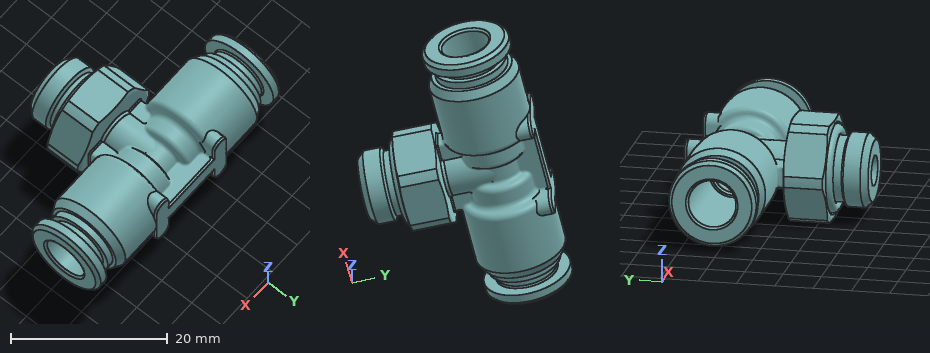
import cadquery as cq
import math

half_length = 18.25

collar_radius = 5.7
collar_chamfer_length = 0.47
collar_chamfer_depth = 0.47
collar_thickness = 1.6
collar_neck_radius = 3.98
collar_neck_root_radius = 4.1
collar_neck_root_length = 0.3
sleeve_start = 3.0
sleeve_radius = 4.75

barrel_start = 3.98
barrel_end_radius = 5.3
barrel_taper_end = 5.15
barrel_radius = 5.9

barrel_inner_x = 5.3
shoulder_round = 0.8
shoulder_radius = barrel_radius - 2 * shoulder_round
shoulder_inner_x = 2.15
waist_radius = 3.05
waist_outer_round = 0.73
waist_inner_round = shoulder_radius - waist_radius - waist_outer_round

tube_mouth_radius = 3.4
tube_radius = 3.1
tube_mouth_depth = 0.3
tube_stop_x = 5.3
stop_cone_radius = 2.8
run_bore_radius = 2.52

web_thickness = 3.05
web_half_width = 5.15
web_edge_round = 0.45
back_y = 6.0
post_inner_x = 4.45
post_outer_x = 7.05
post_half_height = 4.5
back_chamfer_length = 0.33
back_chamfer_depth = 0.1

hex_start = 6.83
hex_end = 12.25
hex_across_flats = 13.0
hex_corner_radius = 7.1
hex_chamfer_length = 0.2
stud_neck_radius = 4.27
stud_neck_end = 13.95
thread_start = 14.27
thread_radius = 4.8
thread_end = 16.5
branch_end = 17.37
tip_radius = 4.0
branch_bore_radius = 1.97

neck_foot_length = 0.45
web_foot_length = 0.22
foot_flare = 0.15

corner_blend = 0.35
tolerance = 0.005

seal_section_radius = 0.73
seal_center_radius = stud_neck_radius + seal_section_radius
seal_recess_radius = 6.0
seal_recess_depth = seal_section_radius


def revolve_about_x(profile):
    """Revolve an (x, radius) profile about the X axis."""
    return profile.close().revolve(360, (0, 0, 0), (1, 0, 0))


def revolve_about_branch(points):
    """Revolve (radius, distance toward -Y) points about the Y axis."""
    outline = [(radius, -distance) for radius, distance in points]
    return cq.Workplane("XY").polyline(outline).close().revolve(360, (0, 0, 0), (0, 1, 0))


def branch_cylinder(radius, start, end):
    return revolve_about_branch([(0, start), (radius, start), (radius, end), (0, end)])


def quarter_arc_middle(center_x, center_r, radius, x_sign, r_sign):
    offset = radius * math.sqrt(0.5)
    return (center_x + x_sign * offset, center_r + r_sign * offset)


def make_half_run():
    """Outer shape of the +X half of the run, from the middle to the collar."""
    waist_end_x = shoulder_inner_x - waist_outer_round - waist_inner_round
    waist_step_x = shoulder_inner_x - waist_outer_round
    barrel_step_x = barrel_inner_x - shoulder_round
    shoulder_outer_x = barrel_step_x - shoulder_round
    profile = (
        cq.Workplane("XY")
        .moveTo(0, 0)
        .lineTo(0, waist_radius)
        .lineTo(waist_end_x, waist_radius)
        .threePointArc(
            quarter_arc_middle(waist_end_x, waist_radius + waist_inner_round, waist_inner_round, 1, -1),
            (waist_step_x, waist_radius + waist_inner_round),
        )
        .threePointArc(
            quarter_arc_middle(shoulder_inner_x, shoulder_radius - waist_outer_round, waist_outer_round, -1, 1),
            (shoulder_inner_x, shoulder_radius),
        )
        .lineTo(shoulder_outer_x, shoulder_radius)
        .threePointArc(
            quarter_arc_middle(shoulder_outer_x, shoulder_radius + shoulder_round, shoulder_round, 1, -1),
            (barrel_step_x, shoulder_radius + shoulder_round),
        )
        .threePointArc(
            quarter_arc_middle(barrel_inner_x, barrel_radius - shoulder_round, shoulder_round, -1, 1),
            (barrel_inner_x, barrel_radius),
        )
        .lineTo(half_length - barrel_taper_end, barrel_radius)
        .lineTo(half_length - barrel_start, barrel_end_radius)
        .lineTo(half_length - barrel_start, sleeve_radius)
        .lineTo(half_length - sleeve_start, sleeve_radius)
        .lineTo(half_length - sleeve_start, collar_neck_radius)
        .lineTo(half_length - collar_thickness - collar_neck_root_length, collar_neck_radius)
        .lineTo(half_length - collar_thickness, collar_neck_root_radius)
        .lineTo(half_length - collar_thickness, collar_radius)
        .lineTo(half_length - collar_chamfer_length, collar_radius)
        .lineTo(half_length, collar_radius - collar_chamfer_depth)
        .lineTo(half_length, 0)
    )
    return revolve_about_x(profile)


def make_half_run_bore():
    """Bore of the +X half of the run: tube socket, coned stop and through bore."""
    stop_cone_depth = stop_cone_radius - run_bore_radius
    profile = (
        cq.Workplane("XY")
        .moveTo(0, 0)
        .lineTo(0, run_bore_radius)
        .lineTo(tube_stop_x - stop_cone_depth, run_bore_radius)
        .lineTo(tube_stop_x, stop_cone_radius)
        .lineTo(tube_stop_x, tube_radius)
        .lineTo(half_length - tube_mouth_depth, tube_radius)
        .lineTo(half_length, tube_mouth_radius)
        .lineTo(half_length, 0)
    )
    return revolve_about_x(profile)


def both_halves(half):
    return half.union(half.mirror("YZ"))


def taper_angle(depth, length):
    return math.degrees(math.atan2(depth, length))


def make_front_web():
    """Flat web in the XY plane with rounded edges, flared where it meets the hexagon."""
    plate_length = hex_start - web_foot_length

    def web_section(start):
        return (
            cq.Workplane("XZ", origin=(0, -start, 0))
            .sketch()
            .rect(2 * web_half_width, web_thickness)
            .vertices()
            .fillet(web_edge_round)
            .finalize()
        )

    foot = web_section(plate_length).extrude(web_foot_length, taper=-taper_angle(foot_flare, web_foot_length))
    return web_section(0).extrude(plate_length).union(foot)


def make_branch_neck():
    """Round neck from the waist to the hexagon, flared at the foot."""
    return revolve_about_branch([
        (0, 0),
        (waist_radius, 0),
        (waist_radius, hex_start - neck_foot_length),
        (waist_radius + foot_flare, hex_start),
        (0, hex_start),
    ])


def extrude_to_back(make_section):
    """Extrude a section from the run axis to the back plane, with its back edge chamfered."""
    plain_length = back_y - back_chamfer_length
    tip = make_section(plain_length).extrude(
        -back_chamfer_length, taper=taper_angle(back_chamfer_depth, back_chamfer_length)
    )
    return make_section(0).extrude(-plain_length).union(tip)


def make_back_web():
    """Web between the two posts."""
    return extrude_to_back(
        lambda y: cq.Workplane("XZ", origin=(0, y, 0)).rect(post_inner_x + post_outer_x, web_thickness)
    )


def make_post(side):
    """Post of slot-shaped section, running along Y from the barrel to the back plane."""
    center_x = side * (post_inner_x + post_outer_x) / 2
    return extrude_to_back(
        lambda y: cq.Workplane("XZ", origin=(center_x, y, 0)).slot2D(
            2 * post_half_height, post_outer_x - post_inner_x, 90
        )
    )


def make_hexagon():
    """Hexagon with flats at top and bottom, corners turned down and both faces chamfered."""
    flat_radius = hex_across_flats / 2
    prism = (
        cq.Workplane("XZ", origin=(0, -hex_start, 0))
        .polygon(6, hex_across_flats / math.cos(math.pi / 6))
        .extrude(hex_end - hex_start)
    )
    turned_blank = revolve_about_branch([
        (0, hex_start),
        (flat_radius, hex_start),
        (hex_corner_radius, hex_start + hex_chamfer_length),
        (hex_corner_radius, hex_end - hex_chamfer_length),
        (flat_radius, hex_end),
        (0, hex_end),
    ])
    seal_recess = branch_cylinder(seal_recess_radius, hex_end - seal_recess_depth, hex_end)
    return prism.intersect(turned_blank).cut(seal_recess)


def make_stud():
    """Threaded end with its undercut neck, at the thread's outer diameter."""
    neck_start = hex_end - seal_recess_depth
    return revolve_about_branch([
        (0, neck_start),
        (stud_neck_radius, neck_start),
        (stud_neck_radius, stud_neck_end),
        (thread_radius, thread_start),
        (thread_radius, thread_end),
        (tip_radius, branch_end),
        (0, branch_end),
    ])


def is_neck_corner(edge):
    """True for the curves where the round neck meets the run, in front of the run axis."""
    box = edge.BoundingBox()
    web_meets_neck_x = math.sqrt(waist_radius**2 - (web_thickness / 2) ** 2)
    return (
        box.xmax - box.xmin > tolerance
        and max(-box.xmin, box.xmax) < web_meets_neck_x + tolerance
        and box.ymin > -shoulder_radius
        and box.ymax < tolerance
    )


def is_web_corner(edge):
    """True for the edges on the web's two faces where the run or a post rises from it."""
    box = edge.BoundingBox()
    on_web_face = (
        box.zmax - box.zmin < tolerance and abs(abs(box.zmax) - web_thickness / 2) < tolerance
    )
    at_front = -barrel_radius < edge.Center().y < 0 and box.xmax - box.xmin > tolerance
    at_back = 0 < edge.Center().y < back_y - back_chamfer_length - tolerance
    return on_web_face and (at_front or at_back)


def blend_corners(body):
    """Fillet the inner corners where the neck, the web and the posts meet the run."""
    corners = [edge for edge in body.edges().vals() if is_neck_corner(edge) or is_web_corner(edge)]
    return body.newObject(corners).fillet(corner_blend)


def make_tee():
    """Solid tee without its bores: run, neck, web and posts with blended corners."""
    tee = both_halves(make_half_run())
    tee = tee.union(make_branch_neck()).union(make_front_web()).union(make_back_web())
    for side in (-1, 1):
        tee = tee.union(make_post(side))
    return blend_corners(tee)


def make_fitting():
    fitting = make_tee().union(make_hexagon()).union(make_stud())
    fitting = fitting.cut(both_halves(make_half_run_bore()))
    return fitting.cut(branch_cylinder(branch_bore_radius, 0, branch_end))


def make_seal():
    """Ring of round section around the stud neck, half sunk in the hexagon's recess."""
    return (
        cq.Workplane("XY")
        .center(seal_center_radius, -hex_end)
        .circle(seal_section_radius)
        .revolve(360, (-seal_center_radius, 0, 0), (-seal_center_radius, 1, 0))
    )


fitting = make_fitting()
seal = make_seal()

result = cq.Compound.makeCompound([fitting.solids().val(), seal.val()])